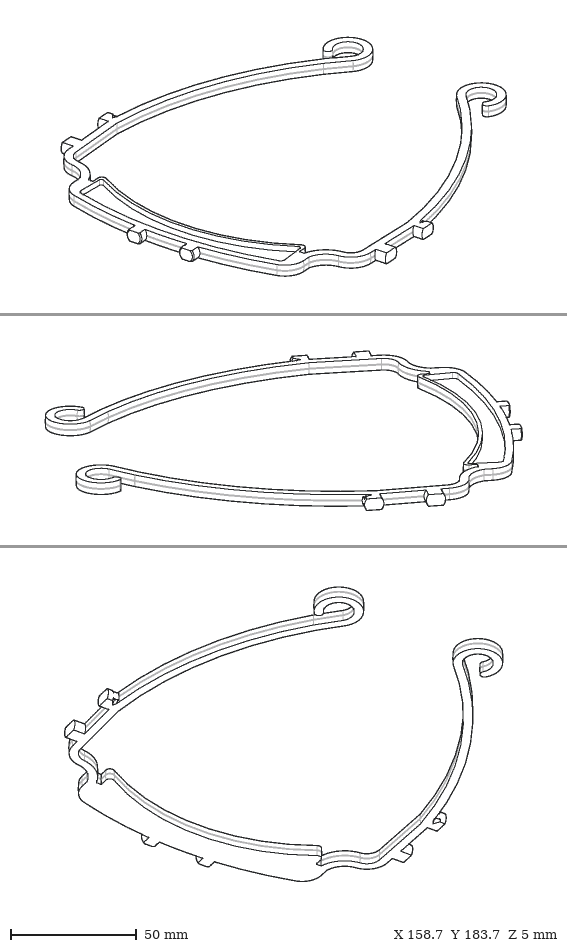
import cadquery as cq
import math

THICKNESS = 5.0
HALF_THICKNESS = THICKNESS / 2
HALF_WIDTH = 79.34
FRONT_Y = -91.835
LAND_HEIGHT = 0.4
DRAFT = 3.0

BAND_WIDTH = 4.0
HOOK_CENTER = (-32.65, 81.835)
HOOK_RADIUS = 8.0
HOOK_TIP_ANGLE = 218.0
HOOK_ROOT_ANGLE = -42.0
ARM_TOP = (-35.0, 67.6)
ARM_MIDDLE = (-57.1, 34.2)
ARM_BOTTOM = (-72.95, -22.0)
ELBOW_CENTER = (-64.1, -51.0)
ELBOW_RADIUS = 8.0
SHOULDER_CENTER = (-66.4, -71.2)

TRAY_FRONT_Y = -88.2
TRAY_FRONT_RADIUS = 180.0
TRAY_BACK_Y = -75.4
TRAY_BACK_RADIUS = 90.9
TRAY_HALF_WIDTH = 56.4
TRAY_CORNER_RADIUS = 9.3
TRAY_LEDGE_Y = -67.0
TRAY_HORN_X = 50.6
TRAY_HORN_RADIUS = 2.0

POCKET_BACK_WALL = 1.7
POCKET_FRONT_WALL = 3.4
POCKET_BACK_X = 49.0
POCKET_FRONT_X = 49.9
POCKET_BACK_FILLET = 1.0
POCKET_FRONT_FILLET = 2.0
POCKET_DEPTH = 2.5

SIDE_PEG_DIAMETER = 7.8
SIDE_PEG_YS = (-19.8, -44.8)
SIDE_PEG_ROOT_X = 72.5
NOTCH_OUTLINE = ((-77.4, -16.0), (-75.2, -19.4), (-73.5, -16.0))
NOTCH_DEPTH = 1.6
NOTCH_TAPER = 20.0
FRONT_PEG_DIAMETER = 7.2
FRONT_PEG_X = 12.8
FRONT_PEG_ROOT_Y = -86.0
FRONT_PEG_CHAMFER = 0.5


def polar(center, radius, degrees):
    angle = math.radians(degrees)
    return (center[0] + radius * math.cos(angle), center[1] + radius * math.sin(angle))


def mirrored(point):
    return (-point[0], point[1])


def both_ways(outline):
    """Extrude an outline both ways: an upright strip, then walls that lean in with the draft."""
    half_land = LAND_HEIGHT / 2
    upper = outline.extrude(HALF_THICKNESS - half_land, taper=DRAFT).translate((0, 0, half_land))
    land = upper.faces("<Z").wires().toPending().extrude(-LAND_HEIGHT)
    return land.union(upper).union(upper.mirror("XY"))


def make_band():
    reach_x = ARM_BOTTOM[0] - ELBOW_CENTER[0]
    reach_y = ARM_BOTTOM[1] - ELBOW_CENTER[1]
    tangent_swing = math.acos(ELBOW_RADIUS / math.hypot(reach_x, reach_y))
    elbow_start = math.degrees(math.atan2(reach_y, reach_x) + tangent_swing)

    run = SHOULDER_CENTER[0] - ELBOW_CENTER[0]
    drop = SHOULDER_CENTER[1] - ELBOW_CENTER[1]
    shoulder_radius = math.hypot(run, drop) - ELBOW_RADIUS
    joint_angle = math.degrees(math.atan2(drop, run))
    shoulder_start = joint_angle + 180
    path = (
        cq.Workplane("XY")
        .moveTo(*polar(HOOK_CENTER, HOOK_RADIUS, HOOK_TIP_ANGLE))
        .threePointArc(
            polar(HOOK_CENTER, HOOK_RADIUS, (HOOK_TIP_ANGLE + HOOK_ROOT_ANGLE) / 2),
            polar(HOOK_CENTER, HOOK_RADIUS, HOOK_ROOT_ANGLE),
        )
        .lineTo(*ARM_TOP)
        .threePointArc(ARM_MIDDLE, ARM_BOTTOM)
        .lineTo(*polar(ELBOW_CENTER, ELBOW_RADIUS, elbow_start))
        .threePointArc(
            polar(ELBOW_CENTER, ELBOW_RADIUS, (joint_angle % 360 + elbow_start) / 2),
            polar(ELBOW_CENTER, ELBOW_RADIUS, joint_angle),
        )
        .threePointArc(
            polar(SHOULDER_CENTER, shoulder_radius, shoulder_start / 2),
            polar(SHOULDER_CENTER, shoulder_radius, 0),
        )
    )
    return both_ways(path.wire().offset2D(BAND_WIDTH / 2))


def make_tray():
    front_center = (0, TRAY_FRONT_Y + TRAY_FRONT_RADIUS)
    back_center = (0, TRAY_BACK_Y + TRAY_BACK_RADIUS)

    corner_x = -TRAY_HALF_WIDTH + TRAY_CORNER_RADIUS
    corner_reach = TRAY_FRONT_RADIUS - TRAY_CORNER_RADIUS
    corner = (corner_x, front_center[1] - math.sqrt(corner_reach**2 - corner_x**2))
    corner_angle = math.degrees(math.atan2(corner[1] - front_center[1], corner_x)) % 360
    corner_start = polar(corner, TRAY_CORNER_RADIUS, 180)
    corner_middle = polar(corner, TRAY_CORNER_RADIUS, (180 + corner_angle) / 2)
    corner_end = polar(corner, TRAY_CORNER_RADIUS, corner_angle)

    horn_x = -TRAY_HORN_X + TRAY_HORN_RADIUS
    horn_reach = TRAY_BACK_RADIUS + TRAY_HORN_RADIUS
    horn = (horn_x, back_center[1] - math.sqrt(horn_reach**2 - horn_x**2))
    horn_angle = math.degrees(math.atan2(back_center[1] - horn[1], -horn_x))
    horn_start = polar(horn, TRAY_HORN_RADIUS, 180)
    horn_middle = polar(horn, TRAY_HORN_RADIUS, (180 + horn_angle) / 2)
    horn_end = polar(horn, TRAY_HORN_RADIUS, horn_angle)

    outline = (
        cq.Workplane("XY")
        .moveTo(-TRAY_HALF_WIDTH, TRAY_LEDGE_Y)
        .lineTo(*corner_start)
        .threePointArc(corner_middle, corner_end)
        .threePointArc((0, TRAY_FRONT_Y), mirrored(corner_end))
        .threePointArc(mirrored(corner_middle), mirrored(corner_start))
        .lineTo(TRAY_HALF_WIDTH, TRAY_LEDGE_Y)
        .lineTo(TRAY_HORN_X, TRAY_LEDGE_Y)
        .lineTo(*mirrored(horn_start))
        .threePointArc(mirrored(horn_middle), mirrored(horn_end))
        .threePointArc((0, TRAY_BACK_Y), horn_end)
        .threePointArc(horn_middle, horn_start)
        .lineTo(-TRAY_HORN_X, TRAY_LEDGE_Y)
        .close()
    )
    return both_ways(outline)


def make_pocket():
    back_y = TRAY_BACK_Y - POCKET_BACK_WALL
    back_radius = TRAY_BACK_RADIUS + POCKET_BACK_WALL
    front_y = TRAY_FRONT_Y + POCKET_FRONT_WALL
    front_radius = TRAY_FRONT_RADIUS - POCKET_FRONT_WALL
    back_corner = (POCKET_BACK_X, back_y + back_radius - math.sqrt(back_radius**2 - POCKET_BACK_X**2))
    front_corner = (
        POCKET_FRONT_X,
        front_y + front_radius - math.sqrt(front_radius**2 - POCKET_FRONT_X**2),
    )
    pocket = (
        cq.Workplane("XY", origin=(0, 0, HALF_THICKNESS - POCKET_DEPTH))
        .moveTo(*mirrored(back_corner))
        .threePointArc((0, back_y), back_corner)
        .lineTo(*front_corner)
        .threePointArc((0, front_y), mirrored(front_corner))
        .close()
        .extrude(POCKET_DEPTH)
    )
    pocket = pocket.edges("|Z").edges(">Y").fillet(POCKET_BACK_FILLET)
    return pocket.edges("|Z").edges("<Y").fillet(POCKET_FRONT_FILLET)


def make_side_peg(y):
    return (
        cq.Workplane("YZ", origin=(-HALF_WIDTH, y, 0))
        .circle(SIDE_PEG_DIAMETER / 2)
        .extrude(HALF_WIDTH - SIDE_PEG_ROOT_X)
    )


def make_front_peg():
    return (
        cq.Workplane("XZ", origin=(-FRONT_PEG_X, FRONT_PEG_ROOT_Y, 0))
        .circle(FRONT_PEG_DIAMETER / 2)
        .extrude(FRONT_PEG_ROOT_Y - FRONT_Y)
        .faces("<Y")
        .chamfer(FRONT_PEG_CHAMFER)
    )


def make_notches():
    """Tapered notches in the upper and lower faces, where the rear side peg meets the arm."""
    notch = (
        cq.Workplane("XY", origin=(0, 0, HALF_THICKNESS))
        .polyline(NOTCH_OUTLINE)
        .close()
        .extrude(-NOTCH_DEPTH, taper=NOTCH_TAPER)
    )
    return notch.union(notch.mirror("XY"))


def make_pegs():
    pegs = make_front_peg()
    for y in SIDE_PEG_YS:
        pegs = pegs.union(make_side_peg(y))
    slab = cq.Workplane("XY").box(2 * HALF_WIDTH, -2 * FRONT_Y, THICKNESS)
    return pegs.intersect(slab).cut(make_notches())


left_side = make_band().union(make_pegs())
frame = make_tray().union(left_side).union(left_side.mirror("YZ"))
result = frame.cut(make_pocket())